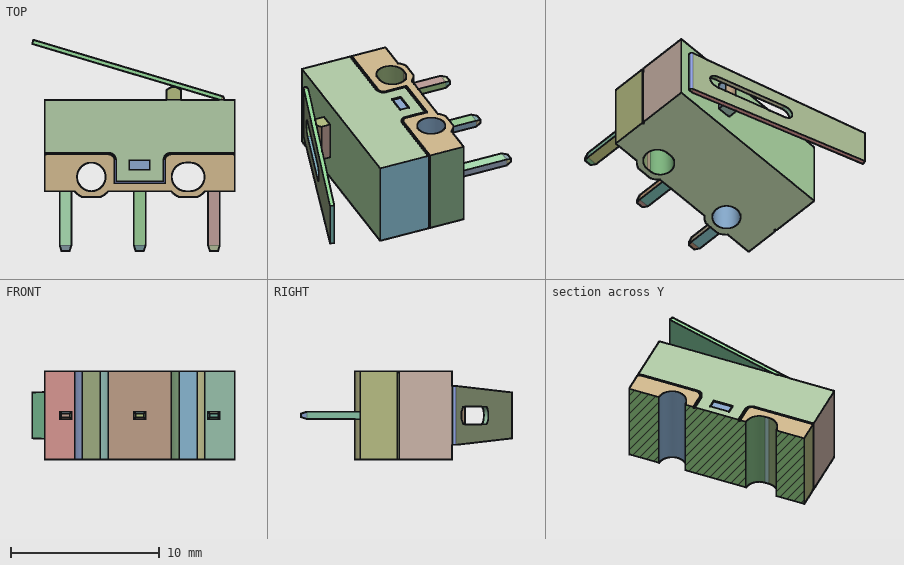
import cadquery as cq
import math


body_length = 12.8
body_height = 6.16
body_thickness = 5.95
top_z = body_thickness / 2

hole_diameter = 1.9
hole_offset_x = 3.25
hole_y = 0.98
slot_hole_length = 2.19
boss_radius = 1.49
boss_drop = 0.38

groove_width = 0.11
groove_depth = 0.1
cover_split_y = 2.6
cover_tongue_half_width = 1.59
cover_tongue_bottom_y = 0.68
cover_corner_radius = 0.5

window_length = 1.38
window_height = 0.64
window_y = 1.78
window_depth = 0.1

pin_pitch = 4.98
pin_width = 0.81
pin_thickness = 0.5
pin_length = 4.0
pin_tip_length = 0.4
pin_tip_inset = 0.13
pin_embed = 0.28

plunger_x = 2.29
plunger_width = 0.98
plunger_thickness = 2.68
plunger_height = 0.87
plunger_crown = 0.24

lever_angle = math.radians(16.6)
lever_thickness = 0.3
lever_overhang = 0.84
lever_tip_x = -body_length / 2 - lever_overhang
overall_height = 14.2
lever_tip_y = overall_height - pin_length
lever_heel_x = 5.67
lever_fold_x = 5.48
lever_heel_radius = 0.17
lever_embed = 0.57
lever_tip_width = 3.1
lever_heel_width = 3.98
lever_slot_start_x = -1.79
lever_slot_end_x = 4.26
lever_slot_width = 1.19


def z_box(length, height, thickness, x, y):
    """Box centred at (x, y) and on the mid-thickness plane."""
    return cq.Workplane("XY").box(length, height, thickness).translate((x, y, 0))


def make_boss(x):
    """Round pad concentric with a mounting hole, flattened at its lowest side."""
    pad = cq.Workplane("XY").center(x, hole_y).circle(boss_radius).extrude(top_z, both=True)
    return pad.intersect(z_box(2 * boss_radius, 2 * boss_drop, body_thickness, x, 0))


def make_body():
    body = z_box(body_length, body_height, body_thickness, 0, body_height / 2)
    for x in (-hole_offset_x, hole_offset_x):
        body = body.union(make_boss(x))
    round_hole = (
        cq.Workplane("XY").center(-hole_offset_x, hole_y)
        .circle(hole_diameter / 2).extrude(top_z, both=True)
    )
    slot_hole = (
        cq.Workplane("XY").center(hole_offset_x, hole_y)
        .slot2D(slot_hole_length, hole_diameter).extrude(top_z, both=True)
    )
    return body.cut(round_hole).cut(slot_hole)


def make_cover_layer(grow):
    """Thin slab with the cover outline, its lower border moved outward by grow."""
    half = cover_tongue_half_width + grow
    split_y = cover_split_y - grow
    bottom_y = cover_tongue_bottom_y - grow
    radius = cover_corner_radius - grow
    bend = radius * (1 - math.sqrt(0.5))
    end_x = body_length / 2
    return (
        cq.Workplane("XY", origin=(0, 0, top_z - groove_depth))
        .moveTo(-end_x, body_height)
        .lineTo(-end_x, split_y)
        .lineTo(-half - radius, split_y)
        .threePointArc((-half - bend, split_y - bend), (-half, split_y - radius))
        .lineTo(-half, bottom_y)
        .lineTo(half, bottom_y)
        .lineTo(half, split_y - radius)
        .threePointArc((half + bend, split_y - bend), (half + radius, split_y))
        .lineTo(end_x, split_y)
        .lineTo(end_x, body_height)
        .close()
        .extrude(groove_depth)
    )


def make_groove():
    """Cover parting groove on the upper face and down both ends."""
    groove = make_cover_layer(groove_width).cut(make_cover_layer(0))
    for side in (-1, 1):
        x = side * (body_length - groove_depth) / 2
        y = cover_split_y - groove_width / 2
        groove = groove.union(z_box(groove_depth, groove_width, body_thickness, x, y))
    return groove


def make_window():
    return (
        cq.Workplane("XY", origin=(0, window_y, top_z - window_depth))
        .rect(window_length, window_height).extrude(window_depth)
    )


def make_pin(x):
    """Flat terminal with all four sides tapered at the tip."""
    shank_length = pin_length - pin_tip_length
    taper = math.degrees(math.atan2(pin_tip_inset, pin_tip_length))
    shank = (
        cq.Workplane("XZ", origin=(x, pin_embed, 0))
        .rect(pin_width, pin_thickness).extrude(shank_length + pin_embed)
    )
    tip = (
        cq.Workplane("XZ", origin=(x, -shank_length, 0))
        .rect(pin_width, pin_thickness).extrude(pin_tip_length, taper=taper)
    )
    return shank.union(tip)


def make_plunger():
    """Button with a crowned top, standing on the lever side of the body."""
    half = plunger_width / 2
    crown_y = body_height + plunger_height
    shoulder_y = crown_y - plunger_crown
    return (
        cq.Workplane("XY")
        .moveTo(plunger_x - half, body_height)
        .lineTo(plunger_x - half, shoulder_y)
        .threePointArc((plunger_x, crown_y), (plunger_x + half, shoulder_y))
        .lineTo(plunger_x + half, body_height)
        .close()
        .extrude(plunger_thickness / 2, both=True)
    )


def make_lever():
    """Sloping blade, bent at its heel into the body, narrowing from fold to tip and slotted."""
    slope = math.tan(lever_angle)
    tip_top_x = lever_tip_x + lever_thickness * math.sin(lever_angle)
    tip_low_y = lever_tip_y - lever_thickness * math.cos(lever_angle)
    inner_x = lever_heel_x - lever_thickness
    foot_y = body_height - lever_embed
    blade = (
        cq.Workplane("XY")
        .moveTo(lever_tip_x, tip_low_y)
        .lineTo(tip_top_x, lever_tip_y)
        .lineTo(lever_heel_x, lever_tip_y - (lever_heel_x - tip_top_x) * slope)
        .lineTo(lever_heel_x, foot_y)
        .lineTo(inner_x, foot_y)
        .lineTo(inner_x, tip_low_y - (inner_x - lever_tip_x) * slope)
        .close()
        .extrude(lever_heel_width / 2, both=True)
        .edges("|Z").edges(">X").edges(">Y").fillet(lever_heel_radius)
    )
    planform = (
        cq.Workplane("XZ")
        .moveTo(lever_tip_x, -lever_tip_width / 2)
        .lineTo(lever_fold_x, -lever_heel_width / 2)
        .lineTo(lever_heel_x, -lever_heel_width / 2)
        .lineTo(lever_heel_x, lever_heel_width / 2)
        .lineTo(lever_fold_x, lever_heel_width / 2)
        .lineTo(lever_tip_x, lever_tip_width / 2)
        .close()
        .extrude(-lever_tip_y)
    )
    slot = (
        cq.Workplane("XZ")
        .center((lever_slot_start_x + lever_slot_end_x) / 2, 0)
        .slot2D(lever_slot_end_x - lever_slot_start_x, lever_slot_width)
        .extrude(-lever_tip_y)
    )
    return blade.intersect(planform).cut(slot)


result = make_body().cut(make_groove()).cut(make_window())
for pin_x in (-pin_pitch, 0, pin_pitch):
    result = result.union(make_pin(pin_x))
result = result.union(make_plunger()).union(make_lever())